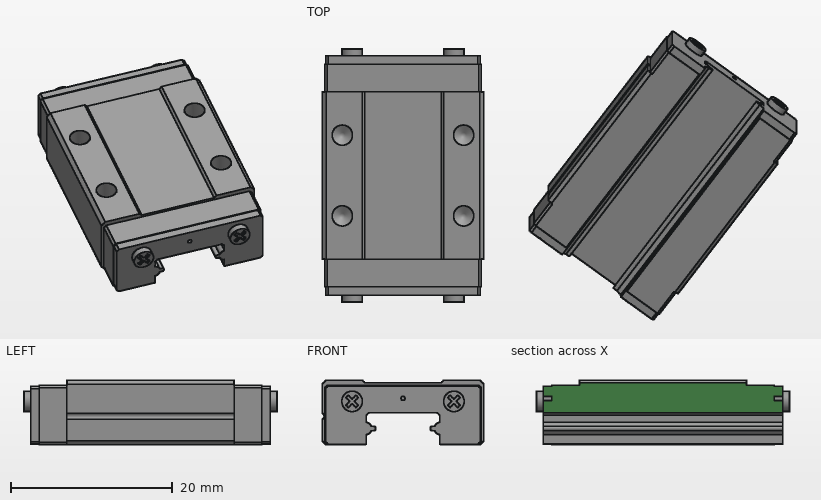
import cadquery as cq
import math

length = 31.3
width = 20.0
height = 8.0

block_length = 20.65
cap_length = 3.45
seal_thickness = 1.03

block_chamfer = 0.5
recess_width = 10.08
recess_depth = 0.3
groove_z = 3.55
groove_radius = 0.4
groove_depth = 0.25

cap_width = 19.35
cap_height = 7.4
end_chamfer = 0.3
seal_inset = 0.11

slot_width = 9.05
slot_height = 3.98
slot_chamfer = 0.3
slot_mouth_chamfer = 0.15

ridge_z = 2.05
ridge_height = 1.55
ridge_reach = 0.65
rib_reach = 1.15
rib_flat = 0.95
rib_height = 0.55

hole_diameter = 2.5
hole_depth = 3.0
drill_point_angle = 118.0
hole_pitch_x = 15.0
hole_pitch_y = 10.0

screw_diameter = 2.55
screw_pitch = 12.58
screw_z = 5.38
cross_span = 1.75
cross_width = 0.4
cross_depth = 0.22
vent_diameter = 0.5
vent_z = 5.75

block_end = block_length / 2
cap_end = block_end + cap_length
seal_end = cap_end + seal_thickness
screw_end = length / 2


def bar(size_x, y_start, y_end, z_bottom, z_top):
    """Box centred on X between the given Y and Z limits."""
    solid = cq.Workplane("XY").box(size_x, y_end - y_start, z_top - z_bottom, centered=(True, False, False))
    return solid.translate((0, y_start, z_bottom))


def rod(diameter, x, z, y_start, y_end):
    """Cylinder along Y."""
    base = cq.Workplane("XZ", origin=(x, y_start, z))
    return base.circle(diameter / 2).extrude(y_start - y_end)


def make_block():
    block = bar(width, -block_end, block_end, 0, height).edges("|Y").chamfer(block_chamfer)

    top_half = recess_width / 2
    floor_half = top_half - recess_depth
    floor_z = height - recess_depth
    recess_points = [(-top_half, height), (-floor_half, floor_z), (floor_half, floor_z), (top_half, height)]
    recess = cq.Workplane("XZ").polyline(recess_points).close().extrude(block_end, both=True)

    groove_x = -width / 2 - groove_radius + groove_depth
    groove = rod(2 * groove_radius, groove_x, groove_z, -block_end, block_end)
    return block.cut(recess).cut(groove)


def make_mounting_hole(x, y):
    radius = hole_diameter / 2
    point_depth = radius / math.tan(math.radians(drill_point_angle / 2))
    profile = [(0, 0), (radius, 0), (radius, -hole_depth), (0, -hole_depth - point_depth)]
    hole = cq.Workplane("XZ").polyline(profile).close().revolve(360, (0, 0, 0), (0, 1, 0))
    return hole.translate((x, y, height))


def make_screw_head(x):
    """Screw head standing on the front seal plate, with a diagonal cross recess."""
    head = rod(screw_diameter, x, screw_z, -screw_end, -seal_end)
    for angle in (45, 135):
        face = cq.Workplane("XZ", origin=(x, -screw_end, screw_z)).transformed(rotate=(0, 0, angle))
        head = head.cut(face.rect(cross_span, cross_width).extrude(-cross_depth))
    return head


def make_front_end():
    """Cap, seal plate and vent hole at the -Y end."""
    cap = bar(cap_width, -cap_end, -block_end, 0, cap_height).edges("|Y").chamfer(end_chamfer)
    seal_width = cap_width - 2 * seal_inset
    seal = bar(seal_width, -seal_end, -cap_end, seal_inset, cap_height - seal_inset)
    seal = seal.edges("|Y").chamfer(end_chamfer)
    vent = rod(vent_diameter, 0, vent_z, -seal_end, -cap_end)
    return cap.union(seal.cut(vent))


def make_slot():
    """Rail slot along the full length, without its side ridges."""
    slot = bar(slot_width, -seal_end, seal_end, 0, slot_height)
    slot = slot.edges("|Y and >Z").chamfer(slot_chamfer)
    inner = slot_width / 2
    outer = inner + slot_mouth_chamfer
    mouth_points = [(-outer, 0), (outer, 0), (inner, slot_mouth_chamfer), (-inner, slot_mouth_chamfer)]
    mouth = cq.Workplane("XZ").polyline(mouth_points).close().extrude(cap_end, both=True)
    return slot.union(mouth)


def make_bulge(x, chord, reach):
    """Round bulge toward +X along the full slot, standing on a flat back at the given X."""
    bottom = (x, ridge_z - chord / 2)
    top = (x, ridge_z + chord / 2)
    profile = cq.Workplane("XZ").moveTo(*bottom).threePointArc((x + reach, ridge_z), top).close()
    return profile.extrude(seal_end, both=True)


def make_ridge():
    """Round ridge carrying a narrow rib on the -X wall of the slot."""
    wall_x = -slot_width / 2
    ridge = make_bulge(wall_x, ridge_height, ridge_reach)
    nose = make_bulge(wall_x + rib_flat, rib_height, rib_reach - rib_flat)
    rib = cq.Workplane("XY").box(rib_flat, 2 * seal_end, rib_height, centered=(False, True, True))
    return ridge.union(rib.translate((wall_x, 0, ridge_z))).union(nose)


front_end = make_front_end()
for side in (-1, 1):
    front_end = front_end.union(make_screw_head(side * screw_pitch / 2))

ridge = make_ridge()
slot = make_slot().cut(ridge).cut(ridge.mirror("YZ"))

result = make_block().union(front_end).union(front_end.mirror("XZ")).cut(slot)
for side_x in (-1, 1):
    for side_y in (-1, 1):
        result = result.cut(make_mounting_hole(side_x * hole_pitch_x / 2, side_y * hole_pitch_y / 2))